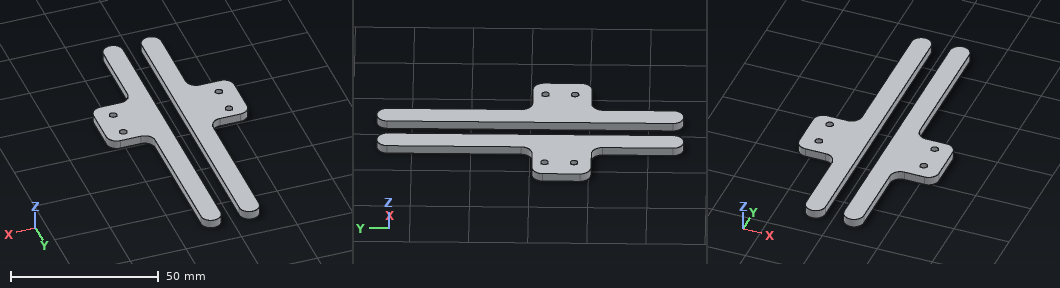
import cadquery as cq

TOTAL_LENGTH = 104.1
TOTAL_WIDTH = 50.8
THICKNESS = 3.2
GAP = 6.7
LENGTH_STAGGER = 0.2

ARM_WIDTH = 7.2
ARM_LENGTH = TOTAL_LENGTH - LENGTH_STAGGER

PLATE_WIDTH = (TOTAL_WIDTH - GAP) / 2
TAB_LENGTH = 20.1
TAB_CENTER_Y = -10.7
CORNER_RADIUS = 3.7

HOLE_DIAMETER = 2.5
HOLE_SPACING = 10.0
HOLE_EDGE_DISTANCE = 6.4
HOLE_SHIFT_Y = 0.7


def make_plate(side, center_y):
    """One plate; side is -1 for the left plate and +1 for the right plate."""
    inner_x = side * GAP / 2
    outer_x = side * TOTAL_WIDTH / 2
    arm_x = inner_x + side * ARM_WIDTH / 2
    arm_outer_x = inner_x + side * ARM_WIDTH
    tab_x = (inner_x + outer_x) / 2
    tab_y = center_y + TAB_CENTER_Y

    arm = (
        cq.Workplane("XY")
        .center(arm_x, center_y)
        .slot2D(ARM_LENGTH, ARM_WIDTH, 90)
        .extrude(THICKNESS)
    )
    tab = (
        cq.Workplane("XY")
        .center(tab_x, tab_y)
        .rect(PLATE_WIDTH, TAB_LENGTH)
        .extrude(THICKNESS)
    )
    plate = arm.union(tab)

    for corner_x in (outer_x, arm_outer_x):
        for end in (-1, 1):
            corner = (corner_x, tab_y + end * TAB_LENGTH / 2, THICKNESS / 2)
            plate = plate.edges(cq.selectors.NearestToPointSelector(corner)).fillet(CORNER_RADIUS)

    hole_x = outer_x - side * HOLE_EDGE_DISTANCE
    hole_y = tab_y + HOLE_SHIFT_Y
    holes = (
        cq.Workplane("XY")
        .pushPoints([(hole_x, hole_y + end * HOLE_SPACING / 2) for end in (-1, 1)])
        .circle(HOLE_DIAMETER / 2)
        .extrude(THICKNESS)
    )
    return plate.cut(holes)


plates = [make_plate(side, side * LENGTH_STAGGER / 2) for side in (-1, 1)]

result = cq.Compound.makeCompound([plate.val() for plate in plates])